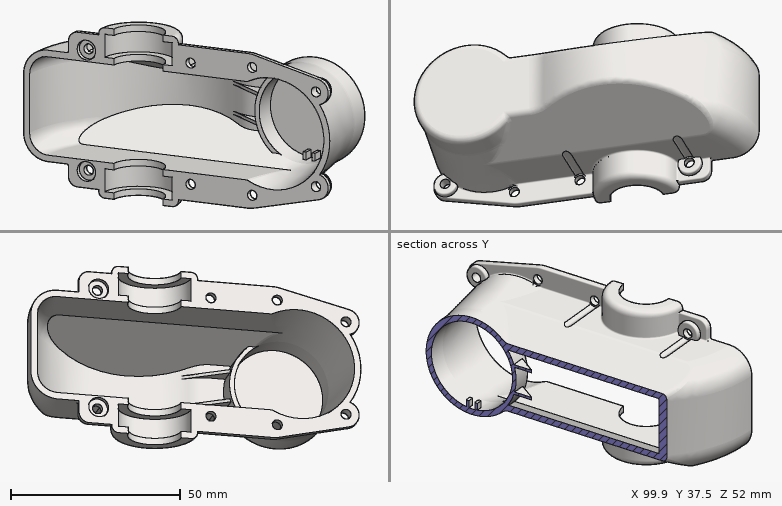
import cadquery as cq
import math


wall = 2.0
dome_radius = 37.5
half_width = 17.0
corner_radius = 8.0
roof_height = 31.0
saddle_radius = 10.0
slope = 0.5
peak_half_width = 6.236
flank_edge_radius = 2.0

tower_x = 43.5
tower_radius = 16.35
tower_base_radius = 18.94
taper_height = 22.1
taper_blend_radius = 8.0
tower_edge_radius = 2.0
collar_radius = 15.75
bore_radius = 14.3
bore_base_radius = 17.0
collar_bottom = 21.3

hub_radius = 13.0
hub_half_length = 26.0
hub_edge_radius = 2.0
shaft_radius = 8.0
bearing_radius = 11.0
bearing_inner_z = 17.0
bearing_outer_z = 24.0

flange_thickness = 2.0
flange_left_x = -22.9
flange_bend_x = 36.7
flange_bend_radius = 8.0
flange_half_width = 23.6
flange_corner_radius = 3.0
ear_radius = 4.0

small_fillet = 0.5
tower_fillet = 2.0
mouth_fillet = 2.0
flange_fillet = 0.4

hole_radius = 1.5
rear_hole = (-17.0, 18.5)
middle_hole = (17.0, 18.5)
bend_hole = (37.1, 19.5)
ear_hole = (57.9, 14.45)
boss_radius = 3.6
boss_height = 3.5
boss_edge_radius = 0.5
counterbore_radius = 3.0
counterbore_depth = 1.5
driver_radius = 2.0

gusset_z = 4.55
gusset_start_x = 15.9
gusset_end_y = 22.5
rib_thickness = 1.0
tab_offset = 1.5
tab_inner_z = 11.9
tab_length = 3.6


def along_y(x, z, radius, y_start, y_end):
    """Cylinder parallel to Y."""
    return cq.Workplane("XZ", origin=(x, y_start, z)).circle(radius).extrude(y_start - y_end)


def along_z(radius, z_start, z_end):
    """Cylinder on the bearing axis."""
    return cq.Workplane("XY").workplane(offset=z_start).circle(radius).extrude(z_end - z_start)


def below_opening():
    """Space on the -Y side of the open face."""
    size = 2 * dome_radius + 2 * tower_x
    return cq.Workplane("XZ").rect(size, size).extrude(dome_radius)


def both_sides(half):
    return half.union(half.mirror("XY"))


def joint_edges(joined, *parts):
    """Edges of a union that are new, lying on no edge of the parts it was made from."""
    old_edges = [edge for part in parts for edge in part.edges().vals()]

    def is_new(edge):
        point = edge.positionAt(0.4)
        vertex = cq.Vertex.makeVertex(point.x, point.y, point.z)
        return all(vertex.distance(old) > 0.02 for old in old_edges)

    return [edge for edge in joined.edges().vals() if is_new(edge)]


def housing_block(inset):
    """Housing shape with all its surfaces moved inward by inset."""
    dome = dome_radius - inset
    width = half_width - inset
    corner = corner_radius - inset
    roof = roof_height - inset
    saddle = saddle_radius + inset

    saddle_y = roof + saddle
    saddle_x = math.sqrt((dome + saddle) ** 2 - saddle_y ** 2)
    touch = dome / (dome + saddle)
    touch_point = (saddle_x * touch, saddle_y * touch)
    half_turn = math.atan2(saddle_x, saddle_y) / 2
    saddle_mid = (saddle_x - saddle * math.sin(half_turn), saddle_y - saddle * math.cos(half_turn))
    dome_mid = (dome * math.sin(half_turn), dome * math.cos(half_turn))

    rear_mid = (-dome * math.sqrt(0.5), dome * math.sqrt(0.5))
    block = (
        cq.Workplane("XY", origin=(0, 0, -width))
        .moveTo(-dome, 0)
        .threePointArc(rear_mid, (0, dome))
        .lineTo(tower_x, dome)
        .lineTo(tower_x, 0)
        .close()
        .extrude(2 * width)
        .edges("%CIRCLE")
        .fillet(corner)
    )
    above_roof = (
        cq.Workplane("XY", origin=(0, 0, -width))
        .moveTo(0, dome)
        .threePointArc(dome_mid, touch_point)
        .threePointArc(saddle_mid, (saddle_x, roof))
        .lineTo(tower_x, roof)
        .lineTo(tower_x, dome)
        .close()
        .extrude(2 * width)
    )
    inset_across = inset * math.sqrt(1 + slope ** 2)
    base_z = peak_half_width + slope * dome_radius - inset_across
    top_z = base_z - slope * dome_radius
    gable = (
        cq.Workplane("YZ", origin=(-dome_radius, 0, 0))
        .polyline([(0, -base_z), (dome_radius, -top_z), (dome_radius, top_z), (0, base_z)])
        .close()
        .extrude(dome_radius + tower_x)
    )
    return block.intersect(gable).cut(above_roof)


def housing():
    """Solid housing with its flank edges rounded."""
    block = housing_block(0)
    sloping = [face for face in block.faces("%PLANE").vals()
               if abs(face.normalAt().y) > 0.1 and abs(face.normalAt().z) > 0.1]
    edges = [edge for face in sloping for edge in face.Edges() if edge.Center().x < tower_x - 1]
    return block.newObject(edges).fillet(flank_edge_radius)


def tower():
    """Solid round tower: cone below, cylinder above, with a blended waist."""
    profile = (
        cq.Workplane("YZ")
        .polyline([
            (0, 0),
            (0, tower_base_radius),
            (taper_height, tower_radius),
            (roof_height, tower_radius),
            (roof_height, 0),
        ])
        .close()
        .revolve(360, (0, 0, 0), (1, 0, 0))
    )
    waist = cq.selectors.BoxSelector(
        (-tower_radius - 1, taper_height - 1, -tower_radius - 1),
        (tower_radius + 1, taper_height + 1, tower_radius + 1),
    )
    return (
        profile
        .edges(waist).edges("%CIRCLE").fillet(taper_blend_radius)
        .edges(">Y").fillet(tower_edge_radius)
        .translate((tower_x, 0, 0))
    )


def hubs():
    """Half-round bearing hubs on both sides."""
    full = along_z(hub_radius, -hub_half_length, hub_half_length)
    return full.edges("%CIRCLE").fillet(hub_edge_radius).cut(below_opening())


def flange():
    """Flat screw flange with a rounded ear at each far corner."""
    ear_x, ear_z = ear_hole
    reach_x = ear_x - flange_bend_x
    reach_z = ear_z - flange_half_width
    reach = math.hypot(reach_x, reach_z)
    edge_angle = math.atan2(reach_z, reach_x) + math.asin(ear_radius / reach)
    tangent = (ear_x - ear_radius * math.sin(edge_angle), ear_z + ear_radius * math.cos(edge_angle))
    bend = cq.NearestToPointSelector((flange_bend_x, flange_thickness / 2, flange_half_width))
    side = (
        cq.Workplane("XZ")
        .polyline([
            (flange_left_x, 0),
            (flange_left_x, flange_half_width),
            (flange_bend_x, flange_half_width),
            tangent,
            ear_hole,
            (tower_x, 0),
        ])
        .close()
        .extrude(-flange_thickness)
        .edges("|Y and <X and >Z").fillet(flange_corner_radius)
        .edges(bend).fillet(flange_bend_radius)
    )
    return both_sides(side.union(along_y(ear_x, ear_z, ear_radius, 0, flange_thickness)))


def bosses():
    """Raised screw seats at the rear and ear holes."""
    half = cq.Workplane("XY")
    for x, z in (rear_hole, ear_hole):
        boss = along_y(x, z, boss_radius, 0, boss_height).edges(">Y").fillet(boss_edge_radius)
        half = half.union(boss)
    return both_sides(half)


def driver_grooves():
    """Screwdriver clearance above every screw seat."""
    seats = [
        (rear_hole, boss_height),
        (middle_hole, flange_thickness),
        (bend_hole, flange_thickness),
        (ear_hole, boss_height),
    ]
    half = cq.Workplane("XY")
    for (x, z), seat in seats:
        half = half.union(along_y(x, z, driver_radius, seat, dome_radius))
    return both_sides(half)


def screw_holes():
    """Through holes, with a counterbore in the open face at the rear holes."""
    half = cq.Workplane("XY")
    for x, z in (rear_hole, middle_hole, bend_hole, ear_hole):
        half = half.union(along_y(x, z, hole_radius, 0, dome_radius))
    x, z = rear_hole
    half = half.union(along_y(x, z, counterbore_radius, 0, counterbore_depth))
    return both_sides(half)


def cavity():
    """Inside of the housing and tower, with the collar left standing."""
    ceiling = roof_height - wall
    collar = along_y(tower_x, 0, collar_radius, collar_bottom, roof_height)
    bore = (
        cq.Workplane("YZ")
        .polyline([
            (0, 0),
            (0, bore_base_radius),
            (collar_bottom, bore_radius),
            (ceiling, bore_radius),
            (ceiling, 0),
        ])
        .close()
        .revolve(360, (0, 0, 0), (1, 0, 0))
        .translate((tower_x, 0, 0))
    )
    channel = housing_block(wall).cut(collar)
    space = channel.union(bore)
    mouth = [edge for edge in joint_edges(space, channel, bore) if edge.Center().y < collar_bottom - 0.1]
    return space.newObject(mouth).fillet(mouth_fillet)


def bearing_seats():
    """Shaft opening through both hubs and a wider bearing pocket in each."""
    shaft = along_z(shaft_radius, -hub_half_length, hub_half_length)
    seat = along_z(bearing_radius, bearing_inner_z, bearing_outer_z)
    return shaft.union(both_sides(seat))


def gussets():
    """Triangular ribs between the ceiling and the collar."""
    ceiling = roof_height - wall
    inner_dome = dome_radius - wall
    mid_collar = (collar_radius + bore_radius) / 2
    end_x = tower_x - math.sqrt(mid_collar ** 2 - gusset_z ** 2)
    half = (
        cq.Workplane("XY", origin=(0, 0, gusset_z - rib_thickness / 2))
        .polyline([
            (gusset_start_x, math.sqrt(inner_dome ** 2 - gusset_start_x ** 2)),
            (end_x, gusset_end_y),
            (end_x, ceiling + 1),
            (gusset_start_x + 8, ceiling + 1),
            (gusset_start_x + 1, inner_dome - 3),
        ])
        .close()
        .extrude(rib_thickness)
    )
    return both_sides(half)


def tabs():
    """Two short locating tabs inside the tower, on its -Z side."""
    ceiling = roof_height - wall
    depth = bore_radius + 0.5 - tab_inner_z
    pair = cq.Workplane("XY")
    for side in (-1, 1):
        pair = pair.union(
            cq.Workplane("XY").box(rib_thickness, tab_length, depth)
            .translate((tower_x + side * tab_offset, ceiling - tab_length / 2, -tab_inner_z - depth / 2))
        )
    return pair


def shell():
    """Outside of the cover as a solid, with its joints rounded."""
    main = housing()
    end = tower()
    body = main.union(end)
    body = body.newObject(joint_edges(body, main, end)).fillet(tower_fillet)

    sides = hubs()
    with_hubs = body.union(sides)
    hub_roots = [edge for edge in joint_edges(with_hubs, body, sides) if edge.Center().y > small_fillet]
    with_hubs = with_hubs.newObject(hub_roots).fillet(small_fillet)

    plate = flange()
    full = with_hubs.union(plate)
    corners = [edge for edge in joint_edges(full, with_hubs, plate)
               if edge.geomType() == "LINE" and abs(edge.Center().x - flange_left_x) < 0.01]
    full = full.newObject(corners).fillet(small_fillet)
    rim = [edge for edge in full.edges().vals() if abs(edge.Center().y - flange_thickness) < 0.01]
    return full.newObject(rim).fillet(flange_fillet)


result = (
    shell()
    .union(bosses())
    .cut(driver_grooves())
    .cut(cavity())
    .union(gussets())
    .union(tabs())
    .cut(bearing_seats())
    .cut(screw_holes())
)